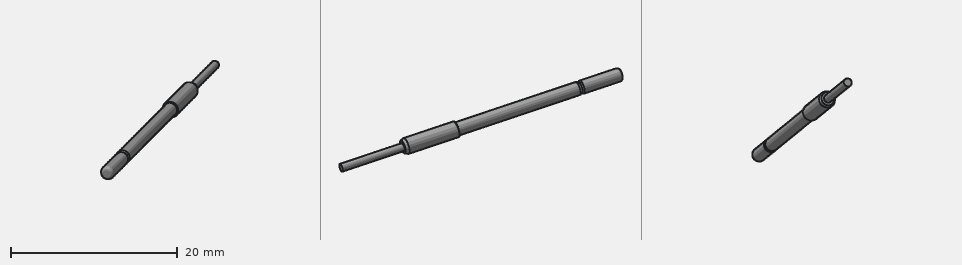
import cadquery as cq

total_length = 37.3
pin_length = 8.25
collar_length = 7.1
groove_start = 5.22
groove_bottom = 5.45
groove_end = 5.8

pin_diameter = 1.0
collar_diameter = 2.0
body_diameter = 1.68
groove_diameter = 1.45

end_round = 0.4
collar_taper_length = 0.4
collar_taper_depth = 0.2

pin_radius = pin_diameter / 2
collar_radius = collar_diameter / 2
body_radius = body_diameter / 2
groove_radius = groove_diameter / 2
collar_top = total_length - pin_length
collar_bottom = collar_top - collar_length

profile = (
    cq.Workplane("XY")
    .lineTo(body_radius - end_round, 0)
    .radiusArc((body_radius, end_round), -end_round)
    .lineTo(body_radius, groove_start)
    .lineTo(groove_radius, groove_bottom)
    .lineTo(body_radius, groove_end)
    .lineTo(body_radius, collar_bottom)
    .lineTo(collar_radius, collar_bottom)
    .lineTo(collar_radius, collar_top - collar_taper_length)
    .lineTo(collar_radius - collar_taper_depth, collar_top)
    .lineTo(pin_radius, collar_top)
    .lineTo(pin_radius, total_length)
    .lineTo(0, total_length)
    .close()
)

solid = profile.revolve(360, (0, 0, 0), (0, 1, 0))
result = solid.translate((0, -total_length / 2, 0))